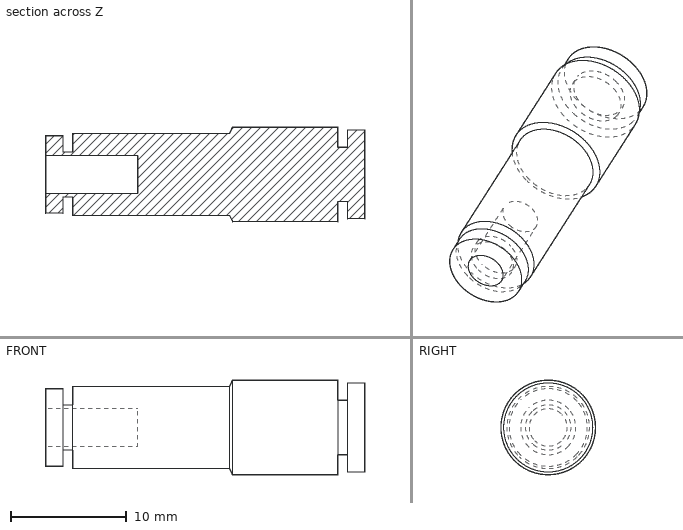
import cadquery as cq

total_length = 27.6
collar_length = 1.52
neck_length = 0.83
shoulder_x = 15.9
shoulder_cone_length = 0.25

small_collar_diameter = 6.73
small_neck_diameter = 3.92
small_body_diameter = 7.12
small_bore_diameter = 3.25

large_body_diameter = 8.2
large_neck_diameter = 4.75
large_collar_diameter = 7.7

bore_depth = shoulder_x / 2


def cylinder(start_x, end_x, diameter):
    """Solid cylinder on the X axis between two stations."""
    return cq.Workplane("YZ", origin=(start_x, 0, 0)).circle(diameter / 2).extrude(end_x - start_x)


small_body_x = collar_length + neck_length
large_collar_x = total_length - collar_length
large_body_end_x = large_collar_x - neck_length

shoulder_cone_height = (large_body_diameter - small_body_diameter) / 2
large_body = cylinder(shoulder_x, large_body_end_x, large_body_diameter)
large_body = large_body.faces("<X").chamfer(shoulder_cone_length, shoulder_cone_height)

result = (
    cylinder(0, collar_length, small_collar_diameter)
    .union(cylinder(collar_length, small_body_x, small_neck_diameter))
    .union(cylinder(small_body_x, shoulder_x, small_body_diameter))
    .union(large_body)
    .union(cylinder(large_body_end_x, large_collar_x, large_neck_diameter))
    .union(cylinder(large_collar_x, total_length, large_collar_diameter))
    .cut(cylinder(0, bore_depth, small_bore_diameter))
)